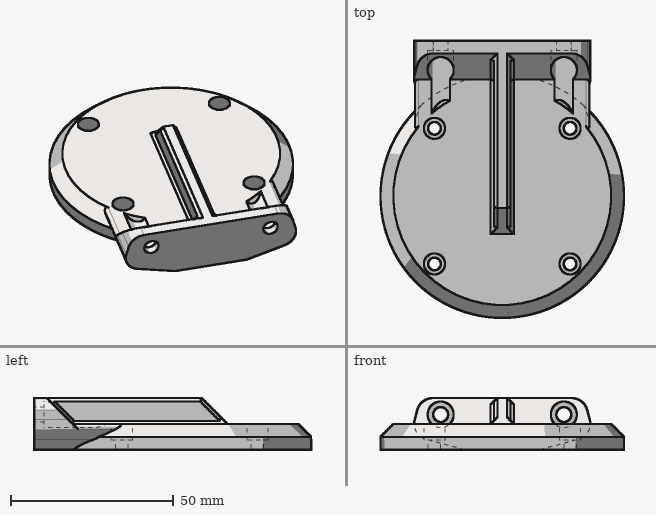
import cadquery as cq
import math

overall_length = 85.35
disc_diameter = 75.0
disc_radius = disc_diameter / 2
block_height = 16.0
disc_thickness = block_height / 2
disc_bevel = disc_thickness / 2
back_y = overall_length - disc_radius

screw_spacing = 41.7
screw_diameter = 3.8
screw_head_diameter = 6.5
screw_head_depth = 5.0

block_front_y = 15.4
block_corner_x = 28.25
block_corner_z = 4.5
block_lean = math.radians(15)
block_round = 5.0
slope_foot_y = 35.9
slope_rise = block_height - disc_thickness
floor_round = 1.2

bolt_spacing = 37.9
bolt_height = 10.8
bolt_diameter = 4.5
bolt_head_diameter = 8.0
bolt_seat_thickness = 3.0

rib_end_y = -11.7
rib_top_half_width = 3.1 / 2
rib_half_width = 5.2 / 2
rib_foot_half_width = 7.1 / 2
rib_bevel = rib_half_width - rib_top_half_width
flare = rib_foot_half_width - rib_top_half_width


def make_disc():
    """Base plate with its upper edge bevelled at 45 degrees."""
    disc = cq.Workplane("XY").circle(disc_radius).extrude(disc_thickness)
    return disc.faces(">Z").edges().chamfer(disc_bevel)


def make_block():
    """Block with leaning sides and undercut bottom edges, extruded along Y."""
    top_x = block_corner_x - (block_height - block_corner_z) * math.tan(block_lean)
    bottom_x = block_corner_x - block_corner_z / math.tan(block_lean)
    outline = [
        (-bottom_x, 0),
        (bottom_x, 0),
        (block_corner_x, block_corner_z),
        (top_x, block_height),
        (-top_x, block_height),
        (-block_corner_x, block_corner_z),
    ]
    block = (
        cq.Workplane("XZ", origin=(0, back_y, 0))
        .polyline(outline)
        .close()
        .extrude(back_y - block_front_y)
    )
    rounded_edges = block.edges("|Y").edges(">Z or >X or <X")
    return rounded_edges.fillet(block_round)


def cut_block_slope(block):
    """Remove material ahead of a 45 degree slope, leaving a floor with rounded sides."""
    removed_profile = [
        (block_front_y, disc_thickness),
        (slope_foot_y, disc_thickness),
        (slope_foot_y + slope_rise, block_height),
        (block_front_y, block_height),
    ]
    removed = (
        cq.Workplane("YZ")
        .polyline(removed_profile)
        .close()
        .extrude(block_corner_x, both=True)
    )
    block = block.cut(removed)
    floor_middle_y = (block_front_y + slope_foot_y) / 2
    floor = block.faces(cq.selectors.NearestToPointSelector((0, floor_middle_y, disc_thickness)))
    return floor.edges("|Y").fillet(floor_round)


def bolt_cylinders(start_y, diameter):
    """Pair of cylinders along the bolt axes, running forward from start_y."""
    return (
        cq.Workplane("XZ", origin=(0, start_y, bolt_height))
        .rarray(bolt_spacing, 0.85, 2, 1)
        .circle(diameter / 2)
        .extrude(start_y - block_front_y)
    )


def screw_cylinders(diameter, depth):
    """Four cylinders sunk from the top of the plate at the screw positions."""
    return (
        cq.Workplane("XY", origin=(0, 0, disc_thickness))
        .rarray(screw_spacing, screw_spacing, 2, 2)
        .circle(diameter / 2)
        .extrude(-depth)
    )


def rib_body(half_width):
    """Parallelogram side profile with 45 degree ends, extruded across X."""
    profile = [
        (rib_end_y, disc_thickness),
        (slope_foot_y, disc_thickness),
        (slope_foot_y + slope_rise, block_height),
        (rib_end_y + slope_rise, block_height),
    ]
    return cq.Workplane("YZ").polyline(profile).close().extrude(half_width, both=True)


def make_rib():
    """Bevelled rib whose sides flare out where they meet the plate and the block."""
    body = rib_body(rib_half_width)
    body = body.faces(">Z or <Y").edges("not |X").chamfer(rib_bevel)

    envelope = rib_body(rib_foot_half_width)
    envelope = envelope.faces(">Z").edges("|Y").chamfer(flare)
    rib_length = slope_foot_y + slope_rise - rib_end_y
    plate_flare = (
        cq.Workplane("XZ", origin=(0, slope_foot_y + slope_rise, disc_thickness))
        .polyline(flare_outline(1))
        .close()
        .extrude(rib_length)
    )
    slope_plane = cq.Plane(
        origin=(0, slope_foot_y, disc_thickness), xDir=(1, 0, 0), normal=(0, 1, 1)
    )
    block_flare = (
        cq.Workplane(slope_plane)
        .polyline(flare_outline(-1))
        .close()
        .extrude(slope_rise * math.sqrt(2))
    )
    return body.union(plate_flare.union(block_flare).intersect(envelope))


def flare_outline(direction):
    """Trapezoid narrowing at 45 degrees away from the face it stands on."""
    return [
        (-rib_foot_half_width, 0),
        (rib_foot_half_width, 0),
        (rib_top_half_width, direction * flare),
        (-rib_top_half_width, direction * flare),
    ]


block = cut_block_slope(make_block())
block = block.cut(bolt_cylinders(back_y, bolt_diameter))
block = block.cut(bolt_cylinders(back_y - bolt_seat_thickness, bolt_head_diameter))

result = make_disc().union(block).union(make_rib())
result = (
    result.cut(screw_cylinders(screw_diameter, disc_thickness))
    .cut(screw_cylinders(screw_head_diameter, screw_head_depth))
)